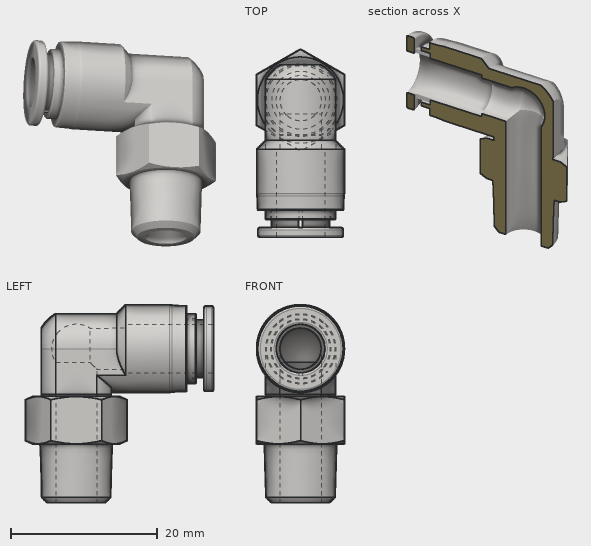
import cadquery as cq
import math


TOTAL_HEIGHT = 27.0
HEX_FLATS = 12.0
HEX_CORNER_RADIUS = HEX_FLATS / 2 / math.cos(math.radians(30))
CAP_RADIUS = HEX_FLATS / 2
ARM_RADIUS = 4.78
LEG_CORNER_RADIUS = 5.54
CORNER_START = math.sqrt(LEG_CORNER_RADIUS**2 - ARM_RADIUS**2)
LEG_EDGE_HEIGHT = 0.25
LEG_EDGE_WIDTH = 0.1

SHOULDER_REACH = 5.5
CAP_REACH = SHOULDER_REACH + CAP_RADIUS - ARM_RADIUS
COLLAR_EDGE_REACH = 12.7
COLLAR_REACH = 13.01
COLLAR_RADIUS = 5.95
COLLAR_END_RADIUS = 5.85
COLLAR_END_REACH = 15.05
COLLAR_EDGE = 0.14
COLLAR_EDGE_DROP = 0.05
MOUTH_RADIUS = ARM_RADIUS
MOUTH_REACH = 16.34

HEX_TOP_DEPTH = 6.48
HEX_HEIGHT = 6.53
HEX_BOTTOM_DEPTH = HEX_TOP_DEPTH + HEX_HEIGHT
HEX_FACE_RADIUS = 5.85
HEX_CHAMFER_HEIGHT = 0.49
STUD_BOTTOM_DEPTH = TOTAL_HEIGHT - CAP_RADIUS
STUD_TOP_RADIUS = 4.95
STUD_END_RADIUS = 4.72
STUD_CHAMFER = 0.78

TUBE_RADIUS = 3.3
PASSAGE_RADIUS = 2.8
BEND_RADIUS = 3.38
TUBE_STOP_REACH = CAP_REACH

SLEEVE_RADIUS = 3.97
SLEEVE_INNER_REACH = 14.9
SEAT_RADIUS = 4.1
FLANGE_RADIUS = 5.83
FLANGE_REACH = 17.35
FLANGE_THICKNESS = 1.35
SLEEVE_OUTER_REACH = FLANGE_REACH + FLANGE_THICKNESS
FLANGE_FILLET = 0.32
SLOT_WIDTH = 0.55


def disc_along_tube(radius, start, end):
    """Cylinder on the tube axis between two reaches."""
    return cq.Workplane("XZ").workplane(offset=start).circle(radius).extrude(end - start)


def disc_down_stud(radius, start, end):
    """Cylinder on the stud axis between two depths."""
    return cq.Workplane("XY").workplane(offset=-end).circle(radius).extrude(end - start)


def leg():
    """Square leg with round corners, capped by a ball and the round top of the arm."""
    round_leg = disc_down_stud(LEG_CORNER_RADIUS, 0, HEX_TOP_DEPTH)
    width = 2 * ARM_RADIUS
    square_leg = cq.Workplane("XY").rect(width, width).extrude(-HEX_TOP_DEPTH)
    foot = round_leg.intersect(square_leg).faces("<Z")
    lower = foot.chamfer(LEG_EDGE_WIDTH, LEG_EDGE_HEIGHT)
    ball = cq.Workplane("XY").sphere(LEG_CORNER_RADIUS)
    upper_outline = disc_along_tube(ARM_RADIUS, -ARM_RADIUS, ARM_RADIUS)
    upper_half = cq.Workplane("XY").rect(width, width).extrude(ARM_RADIUS)
    return lower.union(ball.intersect(upper_outline).intersect(upper_half))


def arm():
    """Arm with a round top, flat sides and an underside that continues the cap."""
    top = disc_along_tube(ARM_RADIUS, -CORNER_START, CAP_REACH)
    sides = (
        cq.Workplane("XZ")
        .center(0, -CAP_RADIUS / 2)
        .rect(2 * ARM_RADIUS, CAP_RADIUS)
        .extrude(CAP_REACH)
    )
    underside = disc_along_tube(CAP_RADIUS, 0, CAP_REACH)
    return top.union(sides.intersect(underside))


def cap():
    """Turned cap: shoulder, cylinder, tapered collar and mouth ring."""
    return (
        cq.Workplane("XY")
        .moveTo(0, -SHOULDER_REACH)
        .lineTo(ARM_RADIUS, -SHOULDER_REACH)
        .lineTo(CAP_RADIUS, -CAP_REACH)
        .lineTo(CAP_RADIUS, -COLLAR_EDGE_REACH)
        .lineTo(COLLAR_RADIUS, -COLLAR_REACH)
        .lineTo(COLLAR_END_RADIUS, -(COLLAR_END_REACH - COLLAR_EDGE))
        .lineTo(COLLAR_END_RADIUS - COLLAR_EDGE_DROP, -COLLAR_END_REACH)
        .lineTo(MOUTH_RADIUS, -COLLAR_END_REACH)
        .lineTo(MOUTH_RADIUS, -(MOUTH_REACH - COLLAR_EDGE))
        .lineTo(MOUTH_RADIUS - COLLAR_EDGE, -MOUTH_REACH)
        .lineTo(0, -MOUTH_REACH)
        .close()
        .revolve(360, (0, 0), (0, 1))
    )


def hexagon():
    """Hexagon with corners on the Y axis, turned conical at both ends."""
    prism = (
        cq.Workplane("XY")
        .workplane(offset=-HEX_BOTTOM_DEPTH)
        .polygon(6, 2 * HEX_CORNER_RADIUS)
        .extrude(HEX_HEIGHT)
        .rotate((0, 0, 0), (0, 0, 1), 30)
    )
    turned = (
        cq.Workplane("XZ")
        .moveTo(0, -HEX_TOP_DEPTH)
        .lineTo(HEX_FACE_RADIUS, -HEX_TOP_DEPTH)
        .lineTo(HEX_CORNER_RADIUS, -(HEX_TOP_DEPTH + HEX_CHAMFER_HEIGHT))
        .lineTo(HEX_CORNER_RADIUS, -(HEX_BOTTOM_DEPTH - HEX_CHAMFER_HEIGHT))
        .lineTo(HEX_FACE_RADIUS, -HEX_BOTTOM_DEPTH)
        .lineTo(0, -HEX_BOTTOM_DEPTH)
        .close()
        .revolve(360, (0, 0), (0, 1))
    )
    return prism.intersect(turned)


def stud():
    """Tapered thread blank below the hexagon, with a chamfered end."""
    return (
        cq.Workplane("XZ")
        .moveTo(0, -HEX_BOTTOM_DEPTH)
        .lineTo(STUD_TOP_RADIUS, -HEX_BOTTOM_DEPTH)
        .lineTo(STUD_END_RADIUS, -(STUD_BOTTOM_DEPTH - STUD_CHAMFER))
        .lineTo(STUD_END_RADIUS - STUD_CHAMFER, -STUD_BOTTOM_DEPTH)
        .lineTo(0, -STUD_BOTTOM_DEPTH)
        .close()
        .revolve(360, (0, 0), (0, 1))
    )


def passages():
    """Tube socket, sleeve seat and the bent flow passage through the stud."""
    sleeve_seat = disc_along_tube(SEAT_RADIUS, SLEEVE_INNER_REACH, MOUTH_REACH)
    socket = disc_along_tube(TUBE_RADIUS, TUBE_STOP_REACH, SLEEVE_INNER_REACH)
    horizontal = disc_along_tube(PASSAGE_RADIUS, 0, TUBE_STOP_REACH)
    vertical = disc_down_stud(PASSAGE_RADIUS, 0, STUD_BOTTOM_DEPTH)
    bend = cq.Workplane("XY").sphere(BEND_RADIUS)
    return bend.union(vertical).union(horizontal).union(socket).union(sleeve_seat)


def elbow_housing():
    """Elbow, cap, hexagon and threaded stud in one piece."""
    outside = leg().union(arm()).union(cap()).union(hexagon()).union(stud())
    return outside.cut(passages())


def release_sleeve():
    """Flanged sleeve with two opposite slots, above and below the tube."""
    flange = disc_along_tube(FLANGE_RADIUS, FLANGE_REACH, SLEEVE_OUTER_REACH)
    flange = flange.edges().fillet(FLANGE_FILLET)
    neck = disc_along_tube(SLEEVE_RADIUS, SLEEVE_INNER_REACH, FLANGE_REACH)
    bore = disc_along_tube(TUBE_RADIUS, SLEEVE_INNER_REACH, SLEEVE_OUTER_REACH)
    slots = (
        cq.Workplane("XZ")
        .workplane(offset=SLEEVE_INNER_REACH)
        .rect(SLOT_WIDTH, 2 * SLEEVE_RADIUS)
        .extrude(FLANGE_REACH - SLEEVE_INNER_REACH)
    )
    sleeve = flange.union(neck).cut(bore).cut(slots)
    bore_mouth = sleeve.faces("<Y").edges(cq.selectors.RadiusNthSelector(0))
    return bore_mouth.fillet(FLANGE_FILLET)


housing = elbow_housing()
sleeve = release_sleeve()

result = cq.Compound.makeCompound([housing.solids().val(), sleeve.solids().val()])